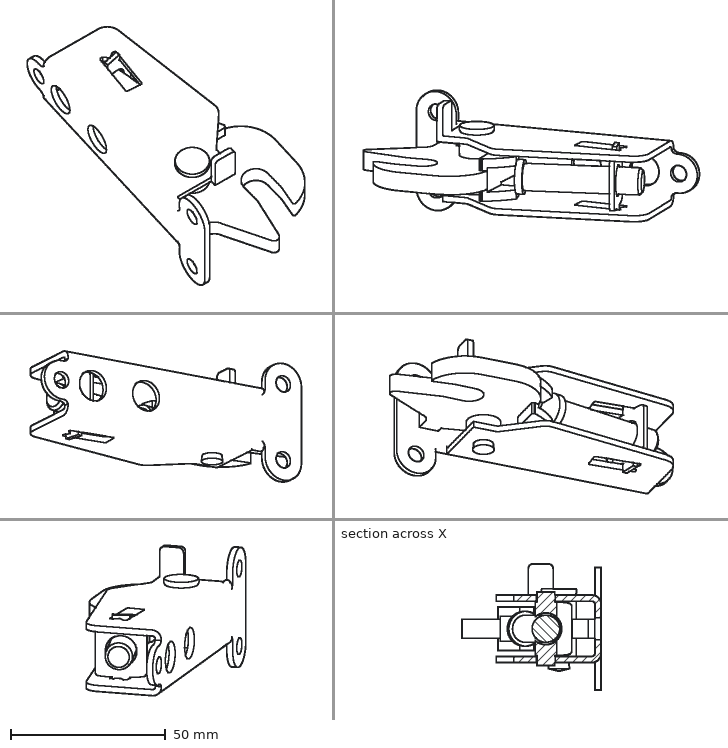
import cadquery as cq
import math

SHEET = 2.1
HALF_WIDTH = 10.9
BEND_RADIUS = 3.0
HALF_INSIDE = HALF_WIDTH - SHEET
FLAT_HALF = HALF_WIDTH - BEND_RADIUS
CHANNEL_START = 9.0
BEND_END = 82.6
WALL_END = 79.8
WALL_FRONT_CORNER = (CHANNEL_START, 26.2)
WALL_PEAK = (58.4, 34.2)
WALL_DIP = (71.4, 23.6)
FRONT_ROUND = 5.2
PEAK_ROUND = 4.3
DIP_ROUND = 1.1
BASE_HOLE_RADIUS = 2.7
END_LUG_RADIUS = 6.5
END_LUG_NECK_LENGTH = 2.0
END_LUG_NECK_RISE = 1.2
END_LUG_NECK_ROUND = 2.2
EAR_RADIUS = 6.9
EAR_X = 90.5
EAR_Z = 12.9
EAR_LEFT = EAR_X - EAR_RADIUS
EAR_NECK_ROUND = 3.2
WINDOW_RADIUS = 5.1
WINDOW_POSITIONS = (18.4, 38.5)
TAB_WIDTH = 8.1
TAB_TOP = 21.0
TAB_ROUND = 1.6
TAB_FOOT_ROUND = 0.4

SLOT_TOP_LEFT = (19.6, 21.1)
SLOT_TOP_RIGHT = (35.6, 20.1)
SLOT_BOTTOM_RIGHT = (35.1, 14.1)
SLOT_BOTTOM_LEFT = (19.1, 15.0)
SLOT_NOTCH_LOW = (19.1, 16.2)
SLOT_NOTCH_HIGH = (19.6, 19.7)
KNIFE_EDGE = (20.9, 18.0)
SLOT_ROUND = 0.5

ROD_TILT = 12.5
ROD_AXIS = (math.cos(math.radians(ROD_TILT)), math.sin(math.radians(ROD_TILT)), 0)
PLATE_CENTRE = (22.1, 17.8)
PLATE_THICKNESS = 1.5
PLATE_HEIGHT = 16.8
PLATE_HALF_WIDTH = 8.8
PLATE_CROWN = 0.5
PLATE_BORE_RADIUS = 5.1
PLATE_CORNER = 1.3
PLATE_TAB_HEIGHT = 5.7
PLATE_TAB_REACH = 11.9
ROD_RADIUS = 4.4
ROD_CHAMFER = 1.0
ROD_TAIL = 8.9
COLLAR_RADIUS = 5.6
COLLAR_START = 29.8
COLLAR_LENGTH = 2.4
COLLAR_END = COLLAR_START + COLLAR_LENGTH

PIVOT = (71.9, 13.6)
PIN_RADIUS = 3.2
HEAD_RADIUS = 5.7
HEAD_HEIGHT = 2.0
HEAD_TOP_RADIUS = 5.5
HEAD_SEAT_RADIUS = 5.3
HEAD_BULGE_HEIGHT = 1.2
TAIL_RADIUS = 3.5
TAIL_LENGTH = 2.8
TAIL_RIM = 2.0
HUB_RADIUS = 5.6
HOOK_THICKNESS = 6.2
HOOK_TOP = 45.0
BACK_CENTRE_X = 74.6
BACK_RADIUS = 14.0
BACK_END = (60.8, 32.4)
BACK_STEP = (60.8, 30.5)
REAR_FOOT = (59.5, 9.4)
NOSE_CENTRE_X = 86.2
NOSE_RADIUS = 13.7
NOSE_END_Y = 34.8
THROAT_CENTRE = (84.2, 30.1)
THROAT_RADIUS = 4.8
UPPER_TIP = (98.8, 34.1)
UPPER_JAW_BEND = (91.4, 35.0)
LOWER_JAW_BEND = (91.5, 25.5)
LOWER_TIP_START = (106.6, 22.9)
LOWER_TIP = (108.1, 21.0)
LOWER_TIP_END = (106.8, 19.4)
LEG_ROUND_START = (92.2, 10.7)
LEG_ROUND_MIDDLE = (90.2, 9.1)
LEG_ROUND_END_Y = 6.7
LEG_LEFT = 82.7
LEG_NOTCH_Y = 4.2
LEG_RIGHT = 89.4
LUG_HALF_WIDTH = 7.0
LUG_RIGHT = 63.4
LUG_RIGHT_Y = 33.0
LUG_TOP = 33.3
LUG_TOP_START = 62.3
LUG_TOP_END = 62.7
LUG_SLOPE_MIDDLE = (57.5, 30.4)
LUG_SEAT_ABOVE = 1.5
LUG_SEAT_BELOW = 3.2
POCKET_HALF_WIDTH = 4.0


def slab(half_width):
    """Workplane parallel to XY from which a symmetric body is extruded upward."""
    return cq.Workplane("XY").workplane(offset=-half_width)


def pivot_cylinder(radius, half_width):
    """Cylinder on the pivot axis, symmetric about Z = 0."""
    return slab(half_width).center(*PIVOT).circle(radius).extrude(2 * half_width)


def make_channel():
    """U section with rounded bends, trimmed to the side outline of the walls."""
    height = WALL_PEAK[1]
    length = EAR_LEFT - CHANNEL_START
    section = (
        cq.Workplane("YZ").workplane(offset=CHANNEL_START)
        .rect(2 * height, 2 * HALF_WIDTH)
        .extrude(length)
        .translate((0, height, 0))
        .edges("|X and <Y").fillet(BEND_RADIUS)
    )
    inside = (
        cq.Workplane("YZ").workplane(offset=CHANNEL_START)
        .rect(2 * height, 2 * HALF_INSIDE)
        .extrude(length)
        .translate((0, height + SHEET, 0))
        .edges("|X and <Y").fillet(BEND_RADIUS - SHEET)
    )
    outline = (
        slab(HALF_WIDTH)
        .polyline([
            (CHANNEL_START, 0), (EAR_LEFT, 0), (EAR_LEFT, SHEET), (WALL_END, SHEET),
            (WALL_END, WALL_DIP[1]), WALL_DIP, WALL_PEAK, WALL_FRONT_CORNER,
        ])
        .close().extrude(2 * HALF_WIDTH)
    )
    rounds = {WALL_FRONT_CORNER: FRONT_ROUND, WALL_PEAK: PEAK_ROUND, WALL_DIP: DIP_ROUND}
    for corner, radius in rounds.items():
        outline = outline.edges(cq.NearestToPointSelector((*corner, 0))).fillet(radius)
    return section.cut(inside).intersect(outline)


def make_base_ends():
    """Flat plate with the round lug at -X and the two ears at +X."""
    ear_right = EAR_X + EAR_RADIUS
    neck_start = CHANNEL_START - END_LUG_NECK_LENGTH
    neck_end = END_LUG_RADIUS + END_LUG_NECK_RISE
    return (
        cq.Workplane("XZ")
        .moveTo(END_LUG_RADIUS, END_LUG_RADIUS)
        .lineTo(neck_start, END_LUG_RADIUS)
        .radiusArc((CHANNEL_START, neck_end), -END_LUG_NECK_ROUND)
        .lineTo(CHANNEL_START, FLAT_HALF)
        .lineTo(BEND_END, FLAT_HALF)
        .radiusArc((EAR_LEFT, HALF_WIDTH), -EAR_NECK_ROUND)
        .lineTo(EAR_LEFT, EAR_Z)
        .threePointArc((EAR_X, EAR_Z + EAR_RADIUS), (ear_right, EAR_Z))
        .lineTo(ear_right, -EAR_Z)
        .threePointArc((EAR_X, -EAR_Z - EAR_RADIUS), (EAR_LEFT, -EAR_Z))
        .lineTo(EAR_LEFT, -HALF_WIDTH)
        .radiusArc((BEND_END, -FLAT_HALF), -EAR_NECK_ROUND)
        .lineTo(CHANNEL_START, -FLAT_HALF)
        .lineTo(CHANNEL_START, -neck_end)
        .radiusArc((neck_start, -END_LUG_RADIUS), -END_LUG_NECK_ROUND)
        .lineTo(END_LUG_RADIUS, -END_LUG_RADIUS)
        .threePointArc((0, 0), (END_LUG_RADIUS, END_LUG_RADIUS))
        .close().extrude(-SHEET)
    )


def make_base_holes():
    screw_holes = (
        cq.Workplane("XZ")
        .pushPoints([(END_LUG_RADIUS, 0), (EAR_X, EAR_Z), (EAR_X, -EAR_Z)])
        .circle(BASE_HOLE_RADIUS).extrude(-SHEET)
    )
    windows = (
        cq.Workplane("XZ")
        .pushPoints([(x, 0) for x in WINDOW_POSITIONS])
        .circle(WINDOW_RADIUS).extrude(-SHEET)
    )
    return screw_holes.union(windows)


def make_tab():
    """Stop tab standing at the end of the +Z wall."""
    return (
        cq.Workplane("XY").workplane(offset=HALF_INSIDE)
        .moveTo(WALL_END, WALL_DIP[1] - TAB_WIDTH)
        .rect(SHEET, TAB_WIDTH, centered=False)
        .extrude(TAB_TOP - HALF_INSIDE)
        .edges("|X and >Z").fillet(TAB_ROUND)
    )


def make_slot():
    corners = (SLOT_TOP_LEFT, SLOT_TOP_RIGHT, SLOT_BOTTOM_RIGHT, SLOT_BOTTOM_LEFT)
    slot = (
        slab(HALF_WIDTH)
        .polyline([*corners, SLOT_NOTCH_LOW, KNIFE_EDGE, SLOT_NOTCH_HIGH])
        .close().extrude(2 * HALF_WIDTH)
    )
    for corner in corners:
        slot = slot.edges(cq.NearestToPointSelector((*corner, 0))).fillet(SLOT_ROUND)
    return slot


def make_bracket():
    pin_holes = pivot_cylinder(PIN_RADIUS, HALF_WIDTH)
    sheet = make_channel().union(make_base_ends()).union(make_tab())
    tab_foot = cq.NearestToPointSelector((WALL_END, WALL_DIP[1] - TAB_WIDTH / 2, HALF_WIDTH))
    sheet = sheet.edges(tab_foot).fillet(TAB_FOOT_ROUND)
    return sheet.cut(make_base_holes()).cut(make_slot()).cut(pin_holes)


def rod_point(along, across=0):
    """XY position from the plate centre: along the rod axis, and across it toward +Y."""
    return (
        PLATE_CENTRE[0] + along * ROD_AXIS[0] - across * ROD_AXIS[1],
        PLATE_CENTRE[1] + along * ROD_AXIS[1] + across * ROD_AXIS[0],
    )


def rod_plane(along):
    """Workplane square to the rod, at a distance from the plate centre along the rod axis."""
    origin = (*rod_point(along), 0)
    return cq.Workplane(cq.Plane(origin=origin, xDir=(0, 0, 1), normal=ROD_AXIS))


def make_rod():
    shank = (
        rod_plane(-ROD_TAIL).circle(ROD_RADIUS).extrude(ROD_TAIL + COLLAR_START)
        .faces("<X").chamfer(ROD_CHAMFER)
    )
    collar = rod_plane(COLLAR_START).circle(COLLAR_RADIUS).extrude(COLLAR_LENGTH)
    return shank.union(collar)


def make_guide_plate():
    """Rounded plate around the rod, with a tab into the slot of each wall."""
    start = rod_plane(-PLATE_THICKNESS / 2)
    corner_z = PLATE_HALF_WIDTH - PLATE_CROWN
    half_height = PLATE_HEIGHT / 2
    square = (
        start
        .moveTo(-corner_z, -half_height)
        .lineTo(corner_z, -half_height)
        .threePointArc((PLATE_HALF_WIDTH, 0), (corner_z, half_height))
        .lineTo(-corner_z, half_height)
        .threePointArc((-PLATE_HALF_WIDTH, 0), (-corner_z, -half_height))
        .close().extrude(PLATE_THICKNESS)
    )
    axis_edges = cq.ParallelDirSelector(cq.Vector(*ROD_AXIS))
    square = square.edges(axis_edges).fillet(PLATE_CORNER)
    tabs = start.rect(2 * PLATE_TAB_REACH, PLATE_TAB_HEIGHT).extrude(PLATE_THICKNESS)
    bore = start.circle(PLATE_BORE_RADIUS).extrude(PLATE_THICKNESS)
    return square.union(tabs).cut(bore)


def make_hook_plate():
    """Flat hook with an open throat toward +X and a leg resting on the bracket base."""
    back_centre_y = HOOK_TOP - BACK_RADIUS
    back_angle = math.acos((BACK_END[1] - back_centre_y) / BACK_RADIUS) / 2
    back_middle = (
        BACK_CENTRE_X - BACK_RADIUS * math.sin(back_angle),
        back_centre_y + BACK_RADIUS * math.cos(back_angle),
    )
    nose_dx = math.sqrt(NOSE_RADIUS**2 - (NOSE_END_Y - HOOK_TOP + NOSE_RADIUS) ** 2)
    nose_angle = math.asin(nose_dx / NOSE_RADIUS) / 2
    nose_middle = (
        NOSE_CENTRE_X + NOSE_RADIUS * math.sin(nose_angle),
        HOOK_TOP - NOSE_RADIUS + NOSE_RADIUS * math.cos(nose_angle),
    )
    return (
        slab(HOOK_THICKNESS / 2)
        .moveTo(*BACK_END)
        .threePointArc(back_middle, (BACK_CENTRE_X, HOOK_TOP))
        .lineTo(NOSE_CENTRE_X, HOOK_TOP)
        .threePointArc(nose_middle, (NOSE_CENTRE_X + nose_dx, NOSE_END_Y))
        .tangentArcPoint(UPPER_TIP, relative=False)
        .lineTo(*UPPER_JAW_BEND)
        .lineTo(THROAT_CENTRE[0], THROAT_CENTRE[1] + THROAT_RADIUS)
        .threePointArc(
            (THROAT_CENTRE[0] - THROAT_RADIUS, THROAT_CENTRE[1]),
            (THROAT_CENTRE[0], THROAT_CENTRE[1] - THROAT_RADIUS),
        )
        .lineTo(*LOWER_JAW_BEND)
        .lineTo(*LOWER_TIP_START)
        .threePointArc(LOWER_TIP, LOWER_TIP_END)
        .lineTo(*LEG_ROUND_START)
        .threePointArc(LEG_ROUND_MIDDLE, (LEG_RIGHT, LEG_ROUND_END_Y))
        .lineTo(LEG_RIGHT, SHEET)
        .lineTo(LEG_LEFT, SHEET)
        .lineTo(LEG_LEFT, LEG_NOTCH_Y)
        .lineTo(*REAR_FOOT)
        .lineTo(*BACK_STEP)
        .close().extrude(HOOK_THICKNESS)
    )


def make_hook_lug():
    """Wide lug behind the hook that the rod collar bears on, with a pocket facing the rod."""
    seat_top = rod_point(COLLAR_END, LUG_SEAT_ABOVE)
    seat_bottom = rod_point(COLLAR_END, -LUG_SEAT_BELOW)
    lug = (
        slab(LUG_HALF_WIDTH)
        .moveTo(LUG_RIGHT, seat_bottom[1])
        .lineTo(LUG_RIGHT, LUG_RIGHT_Y)
        .lineTo(LUG_TOP_END, LUG_TOP)
        .lineTo(LUG_TOP_START, LUG_TOP)
        .threePointArc(LUG_SLOPE_MIDDLE, seat_top)
        .lineTo(*seat_bottom)
        .close().extrude(2 * LUG_HALF_WIDTH)
    )
    pocket_front = seat_top[0] - COLLAR_RADIUS
    pocket = (
        slab(POCKET_HALF_WIDTH)
        .polyline([
            REAR_FOOT, BACK_STEP, (BACK_STEP[0], HOOK_TOP),
            (pocket_front, HOOK_TOP), (pocket_front, REAR_FOOT[1]),
        ])
        .close().extrude(2 * POCKET_HALF_WIDTH)
    )
    return lug.cut(pocket)


def make_hook():
    hub = pivot_cylinder(HUB_RADIUS, HALF_INSIDE)
    bore = pivot_cylinder(PIN_RADIUS, HALF_INSIDE)
    return make_hook_plate().union(make_hook_lug()).union(hub).cut(bore)


def make_pin():
    """Rivet pin turned about the pivot axis: round head on +Z, flared tail on -Z."""
    head_top = HALF_WIDTH + HEAD_HEIGHT
    rim = -HALF_WIDTH - TAIL_RIM
    return (
        cq.Workplane("XZ")
        .moveTo(0, head_top)
        .lineTo(HEAD_TOP_RADIUS, head_top)
        .threePointArc((HEAD_RADIUS, HALF_WIDTH + HEAD_BULGE_HEIGHT), (HEAD_SEAT_RADIUS, HALF_WIDTH))
        .lineTo(PIN_RADIUS, HALF_WIDTH)
        .lineTo(PIN_RADIUS, -HALF_WIDTH)
        .lineTo(TAIL_RADIUS, rim)
        .lineTo(0, -HALF_WIDTH - TAIL_LENGTH)
        .close().revolve(360, (0, 0, 0), (0, 1, 0))
        .translate((*PIVOT, 0))
    )


bracket = make_bracket()
hook = make_hook()
pin = make_pin()
rod = make_rod()
guide_plate = make_guide_plate()

result = cq.Compound.makeCompound(
    [body.solids().val() for body in (bracket, hook, pin, rod, guide_plate)]
)